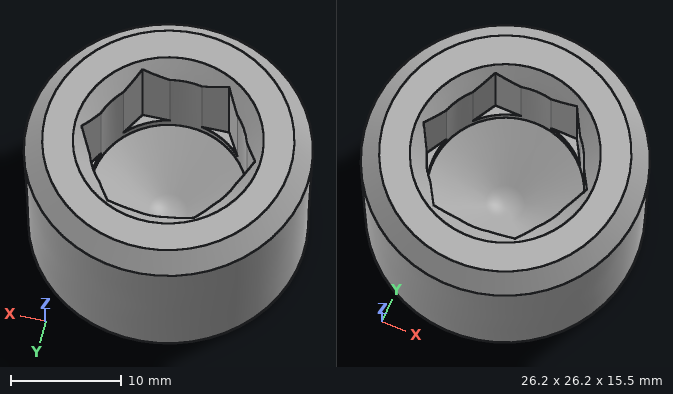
import cadquery as cq
import math

height = 15.5
max_radius = 13.1
top_chamfer_height = 1.78
top_face_radius = 11.43
bottom_chamfer_height = 0.55
bottom_chamfer_width = 0.42
taper_on_diameter = 1 / 16

mouth_diameter = 17.3
hex_across_flats = 13.98
hex_depth = 8.97
drill_diameter = 14.3
drill_depth = 9.78
drill_point_angle = 118.0

hex_across_corners = hex_across_flats / math.cos(math.radians(30))
shoulder_z = height - top_chamfer_height
taper_height = shoulder_z - bottom_chamfer_height
taper_end_radius = max_radius - taper_height * taper_on_diameter / 2


def plug_body():
    """Revolve the tapered outline with a chamfer at each end."""
    outline = [
        (0, 0),
        (taper_end_radius - bottom_chamfer_width, 0),
        (taper_end_radius, bottom_chamfer_height),
        (max_radius, shoulder_z),
        (top_face_radius, height),
        (0, height),
    ]
    return cq.Workplane("XZ").polyline(outline).close().revolve(360, (0, 0), (0, 1))


def hex_socket():
    """Hexagonal prism with two corners on the X axis."""
    floor = cq.Workplane("XY").workplane(offset=height - hex_depth)
    return floor.polygon(6, hex_across_corners).extrude(hex_depth)


def drilled_hole():
    """Revolve the drill's pointed end, its wall and the 45 degree countersink."""
    drill_radius = drill_diameter / 2
    mouth_radius = mouth_diameter / 2
    wall_end_z = height - drill_depth
    point_height = drill_radius / math.tan(math.radians(drill_point_angle / 2))
    countersink_depth = mouth_radius - drill_radius
    outline = [
        (0, wall_end_z - point_height),
        (drill_radius, wall_end_z),
        (drill_radius, height - countersink_depth),
        (mouth_radius, height),
        (0, height),
    ]
    return cq.Workplane("XZ").polyline(outline).close().revolve(360, (0, 0), (0, 1))


result = plug_body().cut(hex_socket()).cut(drilled_hole())